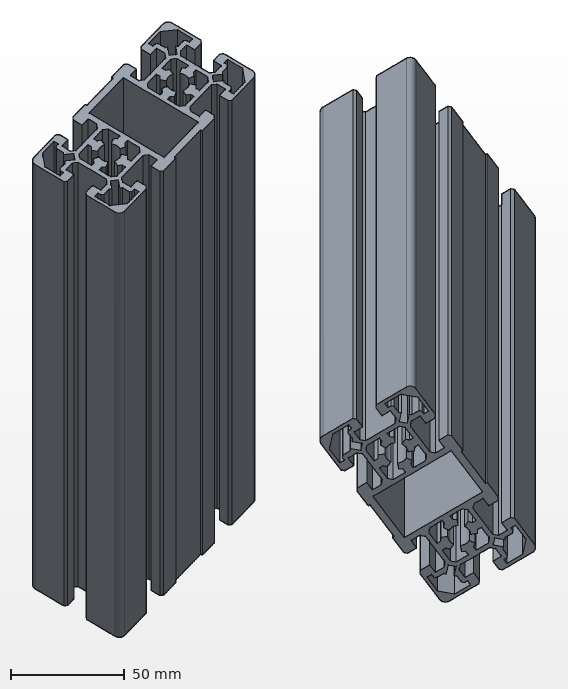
import cadquery as cq
import math

length = 300.0
cell = 50.0
depth = 100.0
half = cell / 2
cell_y = depth / 2 - half
outer_radius = 3.0

mouth_half = 5.0
mouth_chamfer = 1.2
lip_depth = 6.0
chamber_half = 9.5
floor = 12.5
floor_chamfer = 1.8

rim = 1.65
cavity_outer = half - rim
cavity_chamfer = 5.5
pocket_floor = 21.0
pocket_slope = 1.0
slot_wall = 2.55
chamber_wall = chamber_half + slot_wall
channel_half = 1.8
channel_end = 15.5
barb_reach = 1.0
barb_height = 0.75

core_wall = 2.25
core_half = floor - core_wall
core_chamfer = 1.8
bore_radius = 5.0
neck_half = 2.0
head_half = 3.5
head_tip_half = 2.5
head_wide = 7.2
head_back = 8.5

box_width = 41.5
box_depth = 25.0
recess_length = 19.2
recess_depth = 1.0


def prism(points):
    """Closed polygon extruded over the full length."""
    return cq.Workplane("XY").polyline(points).close().extrude(length)


def bar(width, height):
    """Centred rectangle extruded over the full length."""
    return cq.Workplane("XY").rect(width, height).extrude(length)


def turned(solid, angle):
    return solid.rotate((0, 0, 0), (0, 0, 1), angle)


def slot():
    """T-slot open to +Y of a cell centred on the origin."""
    right = [
        (chamber_half - floor_chamfer, floor),
        (chamber_half, floor + floor_chamfer),
        (chamber_half, half - lip_depth),
        (mouth_half, half - lip_depth),
        (mouth_half, half - mouth_chamfer),
        (mouth_half + mouth_chamfer, half),
    ]
    left = [(-x, y) for x, y in reversed(right)]
    return prism(right + left)


def corner_cavity():
    """Hollow in the +X +Y corner of a cell, with its channel toward the core."""
    offset = channel_half * math.sqrt(2)
    end_sum = channel_end * math.sqrt(2)
    barb_x = chamber_wall + barb_reach
    barb_y = barb_x + offset
    upper = [
        ((end_sum - offset) / 2, (end_sum + offset) / 2),
        (barb_x, barb_y),
        (chamber_wall, barb_y + barb_height),
        (chamber_wall, pocket_floor - pocket_slope),
        (chamber_wall - pocket_slope, pocket_floor),
        (chamber_half, pocket_floor),
        (chamber_half, cavity_outer),
        (cavity_outer - cavity_chamfer, cavity_outer),
    ]
    lower = [(y, x) for x, y in reversed(upper)]
    return prism(upper + lower)


def rib():
    """Headed rib on the +Y side of the core, ending on the screw bore."""
    tip_y = math.sqrt(bore_radius**2 - head_tip_half**2)
    return (
        cq.Workplane("XY")
        .moveTo(neck_half, floor)
        .lineTo(neck_half, head_back)
        .lineTo(head_half, head_wide)
        .lineTo(head_tip_half, tip_y)
        .threePointArc((0, bore_radius), (-head_tip_half, tip_y))
        .lineTo(-head_half, head_wide)
        .lineTo(-neck_half, head_back)
        .lineTo(-neck_half, floor)
        .close()
        .extrude(length)
    )


def core():
    """Hollow core of a cell, leaving the four ribs standing."""
    hollow = bar(2 * core_half, 2 * core_half).edges("|Z").chamfer(core_chamfer)
    for angle in (0, 90, 180, 270):
        hollow = hollow.cut(turned(rib(), angle))
    return hollow


def cell_voids():
    """All hollows of the upper cell, centred on the origin."""
    voids = core()
    for angle in (0, 90, -90):
        voids = voids.union(turned(slot(), angle))
    for angle in (0, 90):
        voids = voids.union(turned(corner_cavity(), angle))
    return voids


body = bar(cell, depth).edges("|Z").fillet(outer_radius)
upper_voids = cell_voids().translate((0, cell_y, 0))
body = body.cut(upper_voids).cut(turned(upper_voids, 180))
body = body.cut(bar(box_width, box_depth))

for side in (-1, 1):
    recess = bar(2 * recess_depth, recess_length).translate((side * half, 0, 0))
    body = body.cut(recess)

result = body